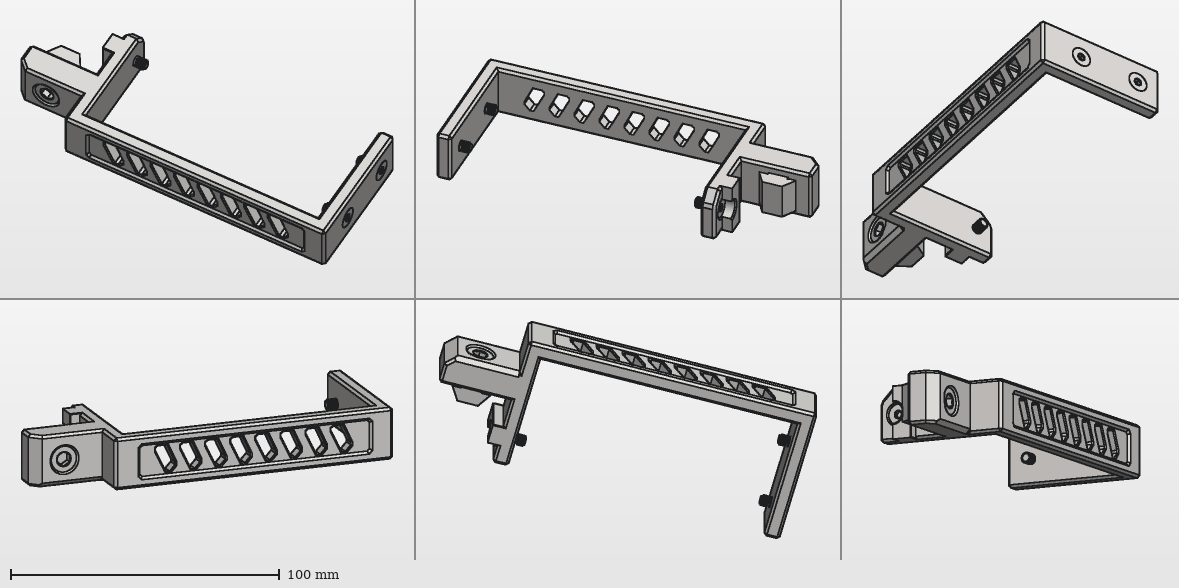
import cadquery as cq
import math

LENGTH = 139.3
HEIGHT = 20.0
MID_Z = HEIGHT / 2
WALL = 6.0
EDGE_CHAMFER = 1.05

LEFT_X = 28.0
RIGHT_SCREW_PROTRUSION = 0.07
RIGHT_X = LENGTH - RIGHT_SCREW_PROTRUSION
LEFT_LEG_END = 51.1
RIGHT_LEG_END = 53.1
LEG_CORNER_CUT = 5.0

ARM_FRONT = 13.1
ARM_THICKNESS = 11.8
ARM_BACK = ARM_FRONT + ARM_THICKNESS
ARM_CORNER_CUT = 4.0
ARM_UNDERSIDE_CHAMFER = 1.8

BLOCK_REACH = 3.9
BLOCK_FRONT = 36.1
BLOCK_BACK = 43.8
BLOCK_CHAMFER = 0.3

PANEL_LEFT = 37.3
PANEL_RIGHT = 131.0
PANEL_HEIGHT = 14.0
PANEL_CORNER = 1.4
PANEL_DEPTH = 1.0

SLOT_COUNT = 8
SLOT_PITCH = 10.0
FIRST_SLOT_X = 44.2
SLOT_CHAMFER = 0.49
SLOT_OUTLINE = [
    (1.3, 5.6),
    (5.5, 5.6),
    (8.9, -1.8),
    (8.9, -3.2),
    (6.4, -5.9),
    (4.5, -5.9),
    (0.0, 3.2),
    (0.0, 4.6),
]

SCREW_HEAD_DIAMETER = 8.0
SCREW_HEAD_HEIGHT = 3.0
SCREW_DIAMETER = 4.0
SCREW_CORE_DIAMETER = 3.0
SCREW_LENGTH = 10.0
SHANK_END = 6.3
THREAD_START = 6.8
THREAD_PITCH = 0.7
THREAD_ROOT_WIDTH = 0.63
THREAD_CREST_WIDTH = 0.1
THREAD_EMBED = 0.1
SCREW_HEX = 2.5
SCREW_SOCKET_MOUTH = 3.0
SCREW_SOCKET_DEPTH = 1.7

LEFT_SCREW_Y = 43.8
RIGHT_SCREW_YS = (17.7, 43.3)
SCREW_MOUTH_CHAMFER = 0.5

BOLT_X = 13.0
BOLT_DIAMETER = 6.0
BOLT_HEAD_DIAMETER = 10.0
BOLT_HEAD_HEIGHT = 5.0
BOLT_HEX = 4.9
BOLT_SOCKET_MOUTH = 5.7
BOLT_SOCKET_DEPTH = 3.0
BOLT_MOUTH_CHAMFER = 0.7
BOLT_REACH_IN_NUT = 4.2

NUT_HEIGHT = 14.0
NUT_GAP = 0.4
NUT_NECK_LENGTH = 0.8
NUT_NECK_WIDTH = 8.0
NUT_WIDE_WIDTH = 14.8
NUT_TOP_WIDTH = 8.0
NUT_BODY_LENGTH = 5.5

LEFT_SCREW_X = LEFT_X + SCREW_MOUTH_CHAMFER
BOLT_HEAD_Y = ARM_FRONT + BOLT_MOUTH_CHAMFER
NUT_NECK_Y = ARM_BACK + NUT_GAP
BOLT_LENGTH = NUT_NECK_Y + NUT_NECK_LENGTH + BOLT_REACH_IN_NUT - BOLT_HEAD_Y


def make_blank(head_diameter, head_height, diameter, length):
    """Headed cylinder without its socket."""
    head = cq.Workplane("XY").circle(head_diameter / 2).extrude(head_height)
    return head.union(cq.Workplane("XY").circle(diameter / 2).extrude(length))


def make_cone(top_diameter, chamfer):
    """Conical mouth that narrows by the chamfer on each side, from Z = 0 upward."""
    radius = top_diameter / 2
    return cq.Workplane(obj=cq.Solid.makeCone(radius, radius - chamfer, chamfer))


def make_hex_socket(across_flats, mouth_diameter, depth):
    """Hexagonal socket with a conical mouth; its corners point along Y."""
    across_corners = across_flats / math.cos(math.pi / 6)
    hexagon = cq.Workplane("XY").polygon(6, across_corners).extrude(depth)
    mouth = make_cone(mouth_diameter, (mouth_diameter - across_flats) / 2)
    return hexagon.rotate((0, 0, 0), (0, 0, 1), 90).union(mouth)


def lay_toward_right(shape, x, y):
    """Turn a shape built along +Z to point along +X."""
    return shape.rotate((0, 0, 0), (0, 1, 0), 90).translate((x, y, MID_Z))


def lay_toward_left(shape, x, y):
    """Turn a shape built along +Z to point along -X."""
    return shape.rotate((0, 0, 0), (0, 1, 0), -90).translate((x, y, MID_Z))


def lay_toward_back(shape, x, y):
    """Turn a shape built along +Z to point along +Y."""
    return shape.rotate((0, 0, 0), (1, 0, 0), -90).translate((x, y, MID_Z))


def make_frame():
    """Base, two legs and mounting arm, with all outer edges chamfered."""
    left_inner = LEFT_X + WALL
    right_inner = RIGHT_X - WALL
    arm_corner = [(0, ARM_FRONT + ARM_CORNER_CUT), (ARM_CORNER_CUT, ARM_FRONT)]
    inside_corners = [
        (right_inner, WALL),
        (left_inner, WALL),
        (LEFT_X, ARM_BACK),
        (LEFT_X, ARM_FRONT),
    ]
    plan = [
        (LEFT_X, 0),
        (RIGHT_X, 0),
        (RIGHT_X, RIGHT_LEG_END),
        (right_inner, RIGHT_LEG_END),
        (right_inner, WALL),
        (left_inner, WALL),
        (left_inner, LEFT_LEG_END),
        (LEFT_X, LEFT_LEG_END),
        (LEFT_X, ARM_BACK),
        (0, ARM_BACK),
        *arm_corner,
        (LEFT_X, ARM_FRONT),
    ]
    frame = cq.Workplane("XY").polyline(plan).close().extrude(HEIGHT)
    leg_corner = (
        cq.Workplane("YZ", origin=(LEFT_X, LEFT_LEG_END, HEIGHT))
        .polyline([(0, 0), (-LEG_CORNER_CUT, 0), (0, -LEG_CORNER_CUT)])
        .close()
        .extrude(WALL)
    )
    cut_top_edge = (LEFT_X + WALL / 2, LEFT_LEG_END - LEG_CORNER_CUT)
    sharp_places = inside_corners + arm_corner + [cut_top_edge]

    def is_chamfered(edge):
        middle = edge.Center()
        return all(math.dist((middle.x, middle.y), place) > 0.01 for place in sharp_places)

    frame = frame.cut(leg_corner)
    return frame.edges().filter(is_chamfered).chamfer(EDGE_CHAMFER)


def make_arm_underside_cut():
    """Wedge along the arm's lower front edge."""
    size = ARM_UNDERSIDE_CHAMFER
    wedge = cq.Workplane("YZ", origin=(0, ARM_FRONT, 0)).polyline([(0, 0), (size, 0), (0, size)])
    return wedge.close().extrude(LEFT_X)


def make_block():
    """Locating block, carried into the leg behind it."""
    block = cq.Workplane("XY").box(
        BLOCK_REACH + WALL / 2, BLOCK_BACK - BLOCK_FRONT, HEIGHT, centered=False
    )
    block = block.faces("<Y").edges("|X or <X").chamfer(BLOCK_CHAMFER)
    return block.translate((LEFT_X - BLOCK_REACH, BLOCK_FRONT, 0))


def make_panel():
    """Shallow recess whose walls slope inward."""
    panel = (
        cq.Workplane("XY")
        .box(PANEL_RIGHT - PANEL_LEFT, PANEL_HEIGHT, 2 * PANEL_DEPTH)
        .edges("|Z")
        .chamfer(PANEL_CORNER)
        .faces(">Z")
        .chamfer(PANEL_DEPTH)
    )
    return lay_toward_back(panel, (PANEL_LEFT + PANEL_RIGHT) / 2, 0)


def make_slot(x):
    """Vent slot through the base, chamfered where it opens into the panel."""
    plane = cq.Workplane("XZ", origin=(x, PANEL_DEPTH, MID_Z))
    mouth = plane.polyline(SLOT_OUTLINE).close().extrude(-SLOT_CHAMFER, taper=45)
    return mouth.union(plane.polyline(SLOT_OUTLINE).close().offset2D(-SLOT_CHAMFER).extrude(-WALL))


def make_screw_blank():
    return make_blank(SCREW_HEAD_DIAMETER, SCREW_HEAD_HEIGHT, SCREW_DIAMETER, SHANK_END)


def make_thread():
    """Helical ridge from just past the shank to the tip."""
    core_radius = SCREW_CORE_DIAMETER / 2
    crest_radius = SCREW_DIAMETER / 2
    root = THREAD_ROOT_WIDTH / 2
    crest = THREAD_CREST_WIDTH / 2
    helix = cq.Wire.makeHelix(THREAD_PITCH, SCREW_LENGTH - THREAD_START - root, core_radius)
    ridge = (
        cq.Workplane("XZ")
        .polyline(
            [
                (core_radius - THREAD_EMBED, -root),
                (crest_radius, -crest),
                (crest_radius, crest),
                (core_radius - THREAD_EMBED, root),
            ]
        )
        .close()
        .sweep(cq.Workplane(obj=helix), isFrenet=True)
    )
    return ridge.rotate((0, 0, 0), (0, 0, 1), 180).translate((0, 0, THREAD_START))


def make_screw():
    core = cq.Workplane("XY").circle(SCREW_CORE_DIAMETER / 2).extrude(SCREW_LENGTH)
    screw = make_screw_blank().union(core).union(make_thread())
    return screw.cut(make_hex_socket(SCREW_HEX, SCREW_SOCKET_MOUTH, SCREW_SOCKET_DEPTH))


def make_bolt_blank():
    blank = make_blank(BOLT_HEAD_DIAMETER, BOLT_HEAD_HEIGHT, BOLT_DIAMETER, BOLT_LENGTH)
    return lay_toward_back(blank, BOLT_X, BOLT_HEAD_Y)


def make_bolt():
    socket = make_hex_socket(BOLT_HEX, BOLT_SOCKET_MOUTH, BOLT_SOCKET_DEPTH)
    return make_bolt_blank().cut(lay_toward_back(socket, BOLT_X, BOLT_HEAD_Y))


def make_nut():
    """Dovetail nut, bored for the bolt's tip."""
    top = NUT_NECK_LENGTH + NUT_BODY_LENGTH
    right_side = [
        (NUT_NECK_WIDTH / 2, 0),
        (NUT_NECK_WIDTH / 2, NUT_NECK_LENGTH),
        (NUT_WIDE_WIDTH / 2, NUT_NECK_LENGTH),
        (NUT_TOP_WIDTH / 2, top),
    ]
    left_side = [(-x, y) for x, y in reversed(right_side)]
    nut = cq.Workplane("XY", origin=(BOLT_X, NUT_NECK_Y, MID_Z)).polyline(right_side + left_side)
    return nut.close().extrude(NUT_HEIGHT / 2, both=True).cut(make_bolt_blank())


def make_bracket():
    body = make_frame().cut(make_arm_underside_cut()).cut(make_panel())
    for i in range(SLOT_COUNT):
        body = body.cut(make_slot(FIRST_SLOT_X + i * SLOT_PITCH))

    mouth = make_cone(SCREW_HEAD_DIAMETER + 2 * SCREW_MOUTH_CHAMFER, SCREW_MOUTH_CHAMFER)
    block_face = LEFT_X - BLOCK_REACH
    clearance = cq.Workplane("XY").circle(SCREW_HEAD_DIAMETER / 2).extrude(LEFT_SCREW_X - block_face)
    body = body.cut(lay_toward_right(mouth, LEFT_X, LEFT_SCREW_Y)).union(make_block())
    body = body.cut(lay_toward_right(mouth, block_face, LEFT_SCREW_Y))
    body = body.cut(lay_toward_right(clearance, block_face, LEFT_SCREW_Y))
    body = body.cut(lay_toward_right(make_screw_blank(), LEFT_SCREW_X, LEFT_SCREW_Y))

    for y in RIGHT_SCREW_YS:
        body = body.cut(lay_toward_left(make_screw_blank(), LENGTH, y))

    mouth = make_cone(BOLT_HEAD_DIAMETER + 2 * BOLT_MOUTH_CHAMFER, BOLT_MOUTH_CHAMFER)
    return body.cut(lay_toward_back(mouth, BOLT_X, ARM_FRONT)).cut(make_bolt_blank())


bracket = make_bracket().solids()
bolt = make_bolt().solids()
nut = make_nut().solids()
screw = make_screw().solids()
screws = [lay_toward_right(screw, LEFT_SCREW_X, LEFT_SCREW_Y)]
for screw_y in RIGHT_SCREW_YS:
    screws.append(lay_toward_left(screw, LENGTH, screw_y))

result = cq.Compound.makeCompound(
    [bracket.val(), bolt.val(), nut.val(), *[placed.val() for placed in screws]]
)